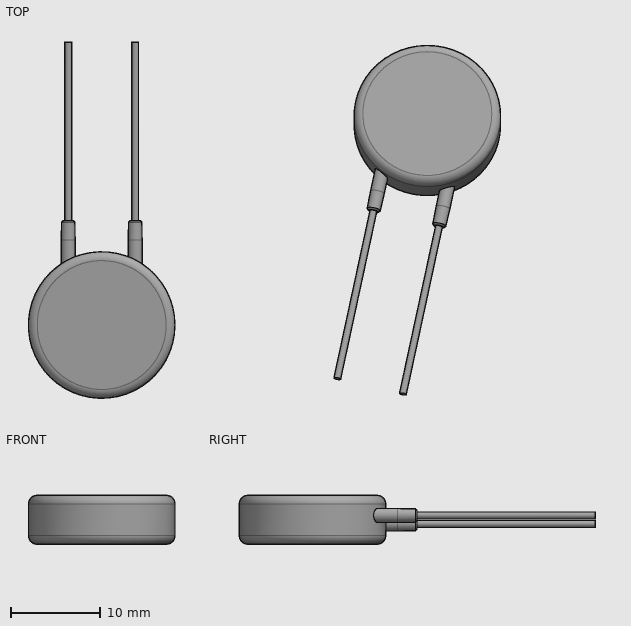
import cadquery as cq

disc_diameter = 16.5
disc_thickness = 5.5
disc_edge_radius = 1.0

total_length = 40.0
lead_pitch = 7.5
lead_stagger = 0.95
lead_radius = 0.4

sleeve_radius = 0.8
sleeve_tip_radius = 0.75
sleeve_end_chamfer = 0.2
lead_bare_length = 20.0
sleeve_taper_length = 2.25

disc_radius = disc_diameter / 2
lead_end = total_length - disc_radius
sleeve_end = lead_end - lead_bare_length
taper_start = sleeve_end - sleeve_taper_length
root_depth = disc_radius / 2


def make_disc():
    disc = cq.Workplane("XY").cylinder(disc_thickness, disc_radius)
    return disc.edges("%CIRCLE").fillet(disc_edge_radius)


def make_lead(side):
    """Lead with its sleeve, revolved about Y; side is -1 or +1 along X."""
    profile = (
        cq.Workplane("XY")
        .moveTo(0, root_depth)
        .lineTo(sleeve_radius, root_depth)
        .lineTo(sleeve_radius, taper_start)
        .lineTo(sleeve_tip_radius, sleeve_end - sleeve_end_chamfer)
        .lineTo(sleeve_tip_radius - sleeve_end_chamfer, sleeve_end)
        .lineTo(lead_radius, sleeve_end)
        .lineTo(lead_radius, lead_end)
        .lineTo(0, lead_end)
        .close()
    )
    lead = profile.revolve(360, (0, 0, 0), (0, 1, 0))
    return lead.translate((side * lead_pitch / 2, 0, side * lead_stagger / 2))


result = make_disc()
for side in (-1, 1):
    result = result.union(make_lead(side))